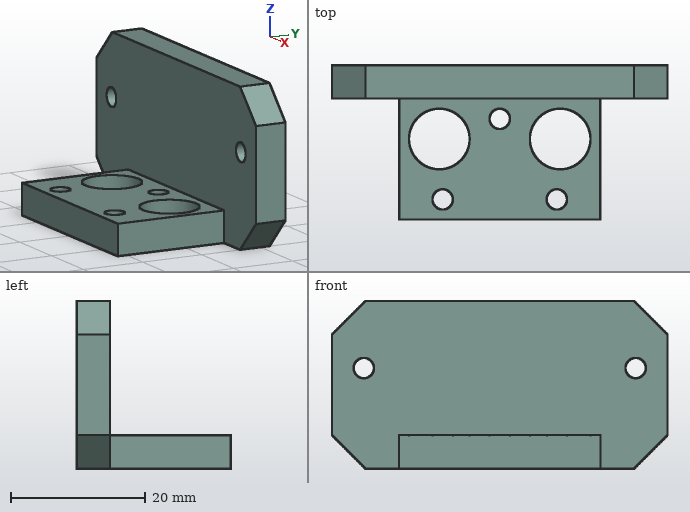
import cadquery as cq

plate_width = 50
plate_height = 25
thickness = 5
corner_chamfer = 5

shelf_width = 30
shelf_depth = 18

small_diameter = 3
large_diameter = 9
plate_hole_spacing = 40.5
plate_hole_height = 15
large_hole_spacing = 18
large_hole_setback = 6
centre_hole_setback = 3
outer_hole_spacing = 17
outer_hole_setback = 15


def mirrored_pair(spacing, y):
    """Two points placed symmetrically about the centre plane."""
    return [(-spacing / 2, y), (spacing / 2, y)]


def upright_plate():
    """Plate with chamfered corners and two mounting holes through Y."""
    plate = (
        cq.Workplane("XY")
        .box(plate_width, thickness, plate_height, centered=(True, False, False))
        .edges("|Y")
        .chamfer(corner_chamfer)
    )
    holes = (
        cq.Workplane("XZ")
        .pushPoints(mirrored_pair(plate_hole_spacing, plate_hole_height))
        .circle(small_diameter / 2)
        .extrude(-thickness)
    )
    return plate.cut(holes)


def shelf_holes(points, diameter):
    """Vertical cylinders through the full shelf thickness."""
    return cq.Workplane("XY").pushPoints(points).circle(diameter / 2).extrude(thickness)


def shelf():
    """Flat shelf with two large holes and a triangle of small holes."""
    slab = (
        cq.Workplane("XY")
        .box(shelf_width, shelf_depth, thickness, centered=(True, False, False))
        .translate((0, -shelf_depth, 0))
    )
    large_points = mirrored_pair(large_hole_spacing, -large_hole_setback)
    small_points = mirrored_pair(outer_hole_spacing, -outer_hole_setback)
    small_points.append((0, -centre_hole_setback))
    return slab.cut(shelf_holes(large_points, large_diameter)).cut(
        shelf_holes(small_points, small_diameter)
    )


result = upright_plate().union(shelf())